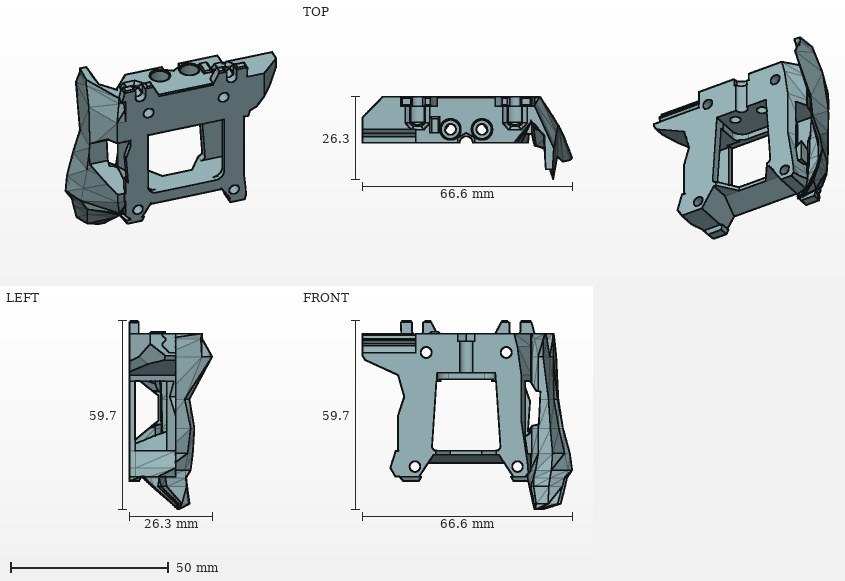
import cadquery as cq


DEPTH = 14.65
PLATE_THICKNESS = 2.8
BACK_WALL_Y = 12.8
RAIL_END_X = -32.95
BODY_RIGHT_X = 20.5
LEG_BOTTOM_Z = -45.4
CAVITY_TOP_Z = -15.1
CAVITY_FLOOR_Z = -37.1
BRIDGE_Z = -38.5
BRIDGE_BACK_Z = -41.1
LEG_LEFT_X = -21.65
LEG_STEP_Z = -37.2
LEG_CORNER_X = 24.1
LEG_CORNER_Z = -42.6
OVERRUN = 1.0
TIP_Y = -11.61

WINDOW_TOP_Z = -12.46
WINDOW_TOP_HALF = 9.25
WINDOW_FLOOR_HALF = 10.9
WINDOW_RADIUS = 1.3
POCKET_RADIUS = 3.6
BACK_WINDOW_TOP_Z = -14.5
BACK_WINDOW_HALF = 12.9
BACK_WINDOW_RADIUS = 3.0
BRIDGE_END_X = 9.6
BRIDGE_MID_X = 5.0
BRIDGE_FRONT_Y = 6.5

SCREW_DIA = 3.4
LEG_HOLE_DIA = 3.31
TOP_SCREW_X = 12.7
TOP_SCREW_Z = -6.0
LEG_SCREW_X = 16.27
LEG_SCREW_Z = -42.2
VERTICAL_HOLE_X = 5.0
VERTICAL_HOLE_Y = 4.27
COUNTERBORE_DIA = 6.0
COUNTERBORE_DEPTH = 10.0
COUNTERBORE_CHAMFER = 0.35
CLAMP_BORE_DIA = 4.1
NUT_FLATS = 5.5
NUT_DEPTH = 2.4

HOOK_X = 15.45
HOOK_FRONT_Y = 11.65
HOOK_HEIGHT = 4.0
HOOK_SLOT = 3.4
HOOK_CHAMFER_HEIGHT = 0.6
HOOK_TOP_SETBACK = 0.45
SLOT_AXIS_Z = 0.85
TROUGH_DIA = 5.8
TROUGH_FRONT_Y = 6.6
TROUGH_NOSE_LENGTH = 1.4
TROUGH_RIM_FRONT_Y = 4.1
TROUGH_RIM_HALF = 3.9
TROUGH_RIM_DEPTH = 1.1
TROUGH_RIM_SETBACK = 0.3
TROUGH_RIM_TAPER = 1.5

TAB_X = (-11.5, -8.4)
TAB_Y = (3.2, 8.2)
TAB_HEIGHT = 0.6
TAB_CHAMFER = 0.5

RAIL_CUT_END_X = -16.05
FOOT_BOTTOM_Z = -46.8
FOOT_FRONT_Y = 10.8
BACK_EDGE_CHAMFER = 0.4


def prism_y(points, y_start, y_end):
    """Extrude an X-Z outline along Y."""
    sketch = cq.Workplane("XZ", origin=(0, y_start, 0)).polyline(points).close()
    return sketch.extrude(-(y_end - y_start))


def prism_x(points, x_start, x_end):
    """Extrude a Y-Z outline along X."""
    return cq.Workplane("YZ", origin=(x_start, 0, 0)).polyline(points).close().extrude(x_end - x_start)


def prism_z(points, z_start, z_end):
    """Extrude an X-Y outline along Z."""
    return cq.Workplane("XY", origin=(0, 0, z_start)).polyline(points).close().extrude(z_end - z_start)


def box(x_span, y_span, z_span):
    """Block between the (low, high) limits on each axis."""
    left, right = x_span
    front, back = y_span
    return prism_z([(left, front), (right, front), (right, back), (left, back)], *z_span)


def cylinder_y(diameter, x, z, y_start, y_end):
    plane = cq.Workplane("XZ", origin=(x, y_start, z))
    return plane.circle(diameter / 2).extrude(-(y_end - y_start))


def cylinder_z(diameter, x, y, z_start, z_end):
    plane = cq.Workplane("XY", origin=(x, y, z_start))
    return plane.circle(diameter / 2).extrude(z_end - z_start)


def face_of(points):
    return cq.Face.makeFromWires(cq.Wire.makePolygon([cq.Vector(*p) for p in points], close=True))


def faceted_solid(sections):
    """Flat-faceted solid through (z, plan points) sections with equal point counts."""
    rings = [[(x, y, z) for x, y in plan] for z, plan in sections]
    faces = [face_of(rings[0]), face_of(rings[-1])]
    for upper, lower in zip(rings, rings[1:]):
        for i in range(len(upper)):
            j = (i + 1) % len(upper)
            faces.append(face_of([upper[i], upper[j], lower[j]]))
            faces.append(face_of([upper[i], lower[j], lower[i]]))
    solid = cq.Solid.makeSolid(cq.Shell.makeShell(faces))
    return cq.Workplane("XY").add(cq.Shape.cast(solid.fix().wrapped))


def half_space(a, b, c):
    """Large block on the side of plane a-b-c that its right-hand normal points to."""
    origin = cq.Vector(*a)
    edge = cq.Vector(*b) - origin
    normal = edge.cross(cq.Vector(*c) - origin)
    size = 60.0
    return cq.Workplane(cq.Plane(origin, edge, normal)).rect(size, size).extrude(size)


def main_block():
    """Front silhouette of the frame, without the wing, through the full depth."""
    outline = [
        (RAIL_END_X, 0), (RAIL_END_X, -7.0), (-32.1, -8.4), (LEG_LEFT_X, -13.2),
        (-19.7, -20.0), (LEG_LEFT_X, -26.0), (LEG_LEFT_X, LEG_STEP_Z), (-22.4, LEG_STEP_Z),
        (-LEG_CORNER_X, LEG_CORNER_Z), (-22.5, LEG_BOTTOM_Z), (-14.9, LEG_BOTTOM_Z), (-10.4, BRIDGE_Z),
        (10.4, BRIDGE_Z), (14.9, LEG_BOTTOM_Z), (18.8, LEG_BOTTOM_Z), (BODY_RIGHT_X, -43.5),
        (BODY_RIGHT_X, 0),
    ]
    return prism_y(outline, 0, DEPTH)


def bridge_wedge():
    """Sloping underside of the bridge between the legs."""
    half_length = 11.9
    profile = [(BRIDGE_FRONT_Y, BRIDGE_Z), (DEPTH, BRIDGE_BACK_Z), (DEPTH, BRIDGE_Z)]
    return prism_x(profile, -half_length, half_length)


def foot(side):
    """Tapered foot below the back of a leg; side is -1 for left, +1 for right."""
    taper = 0.8
    top = [(14.2, FOOT_FRONT_Y), (21.2, FOOT_FRONT_Y), (20.2, DEPTH), (14.2, DEPTH)]
    bottom = [(15.0, FOOT_FRONT_Y + taper), (20.0, FOOT_FRONT_Y + taper), (19.9, DEPTH), (15.0, DEPTH)]
    sections = [
        (z, [(side * x, y) for x, y in plan])
        for z, plan in ((LEG_BOTTOM_Z, top), (FOOT_BOTTOM_Z, bottom))
    ]
    return faceted_solid(sections)


def rail_corner_cuts():
    """Slanted faces at the back of the rail arm."""
    outside_x = RAIL_END_X - OVERRUN
    outside_y = DEPTH + OVERRUN
    arm_bottom_z = -20.0
    corner = prism_z([(outside_x, 7.0), (-25.5, outside_y), (outside_x, outside_y)], arm_bottom_z, OVERRUN)
    shoulder = (-29.4, 11.6, -7.4)
    underside = (-29.4, 8.9, -9.5)
    end_facet = half_space((RAIL_END_X, 8.0, -3.3), shoulder, (RAIL_END_X, 3.5, -6.8))
    back_facet = half_space(shoulder, (-26.5, DEPTH, -8.8), underside)
    arm_zone = box((outside_x, LEG_LEFT_X), (-OVERRUN, outside_y), (arm_bottom_z, OVERRUN))
    back_zone = box((outside_x, LEG_LEFT_X), (8.0, outside_y), (-14.0, OVERRUN))
    return [corner, end_facet.intersect(arm_zone), back_facet.intersect(back_zone)]


def left_leg_cuts():
    """Slant of the left leg towards the back wall and bevel behind the front plate edge."""
    outside_x = -30.0
    outside_y = DEPTH + OVERRUN
    edges = [
        (CAVITY_TOP_Z, LEG_LEFT_X, -19.6),
        (CAVITY_FLOOR_Z, -22.4, -19.6),
        (LEG_CORNER_Z, -LEG_CORNER_X, -20.2),
        (FOOT_BOTTOM_Z, -LEG_CORNER_X, -20.4),
    ]
    leg_side = faceted_solid([
        (z, [(front_x, 0), (back_x, BACK_WALL_Y), (back_x, outside_y),
             (outside_x, outside_y), (outside_x, 0)])
        for z, front_x, back_x in edges
    ])
    plate_bevel = prism_z([
        (LEG_LEFT_X, 0), (-18.7, PLATE_THICKNESS), (outside_x, PLATE_THICKNESS), (outside_x, 0),
    ], CAVITY_FLOOR_Z, CAVITY_TOP_Z)
    return [leg_side, plate_bevel]


def rail_cut():
    """Stepped and grooved rail along the top left of the front face."""
    profile = [
        (-1, 1), (4.25, 1), (4.25, -0.6), (3.1, -1.7), (3.1, -2.1),
        (4.25, -3.3), (4.25, -3.8), (2.0, -6.05), (-1, -6.05),
    ]
    return prism_x(profile, RAIL_END_X - OVERRUN, RAIL_CUT_END_X)


def side_groove():
    """Gap between the right edge of the front plate and the wing."""
    far_x = 30.0
    plate_edge = [(1, 15.2), (0, 15.2), (-4, 16.2), (-13, 17.45), (-28, 17.5), (-41.5, 19.5), (-48, 19.9)]
    apex = (20.6, 6.7)
    sections = [(z, [(x, -1), (x, 0), apex, (far_x, apex[1]), (far_x, -1)]) for z, x in plate_edge]
    return faceted_solid(sections)


def window_cuts():
    """Hollow between front plate and back wall, with the windows opening into it."""
    cavity = box((RAIL_END_X, -RAIL_END_X), (PLATE_THICKNESS, BACK_WALL_Y), (CAVITY_FLOOR_Z, CAVITY_TOP_Z))
    front_window = prism_y([
        (-WINDOW_TOP_HALF, WINDOW_TOP_Z), (WINDOW_TOP_HALF, WINDOW_TOP_Z),
        (WINDOW_FLOOR_HALF, CAVITY_FLOOR_Z), (-WINDOW_FLOOR_HALF, CAVITY_FLOOR_Z),
    ], -OVERRUN, PLATE_THICKNESS + OVERRUN).edges("|Y and <Z").fillet(WINDOW_RADIUS)
    pocket = box((-WINDOW_TOP_HALF, WINDOW_TOP_HALF), (-OVERRUN, BACK_WALL_Y),
                 (CAVITY_TOP_Z - OVERRUN, WINDOW_TOP_Z))
    pocket = pocket.edges("|Z and >Y").fillet(POCKET_RADIUS)
    back_window = box((-BACK_WINDOW_HALF, BACK_WINDOW_HALF), (BACK_WALL_Y - OVERRUN, DEPTH + OVERRUN),
                      (CAVITY_FLOOR_Z, BACK_WINDOW_TOP_Z)).edges("|Y and <Z").fillet(BACK_WINDOW_RADIUS)
    bridge_front = prism_z([
        (-BRIDGE_END_X, -OVERRUN), (-BRIDGE_END_X, 0), (-BRIDGE_MID_X, BRIDGE_FRONT_Y),
        (BRIDGE_MID_X, BRIDGE_FRONT_Y), (BRIDGE_END_X, 0), (BRIDGE_END_X, -OVERRUN),
    ], LEG_BOTTOM_Z, CAVITY_FLOOR_Z + OVERRUN)
    return [cavity, front_window, pocket, back_window, bridge_front]


def hole_cuts():
    """Screw holes, counterbores and the clamp screw bore with its nut recess."""
    cuts = []
    for side in (-1, 1):
        cuts.append(cylinder_y(SCREW_DIA, side * TOP_SCREW_X, TOP_SCREW_Z, -OVERRUN, DEPTH + OVERRUN))
        cuts.append(cylinder_y(LEG_HOLE_DIA, side * LEG_SCREW_X, LEG_SCREW_Z, -OVERRUN, DEPTH + OVERRUN))
        x = side * VERTICAL_HOLE_X
        cuts.append(cylinder_z(SCREW_DIA, x, VERTICAL_HOLE_Y, CAVITY_TOP_Z, OVERRUN))
        cuts.append(cylinder_z(COUNTERBORE_DIA, x, VERTICAL_HOLE_Y, -COUNTERBORE_DEPTH, OVERRUN))
        rim_radius = COUNTERBORE_DIA / 2 + COUNTERBORE_CHAMFER
        rim = cq.Solid.makeCone(rim_radius, COUNTERBORE_DIA / 2, COUNTERBORE_CHAMFER,
                                cq.Vector(x, VERTICAL_HOLE_Y, 0), cq.Vector(0, 0, -1))
        cuts.append(cq.Workplane("XY").add(rim))
    cuts.append(cylinder_z(CLAMP_BORE_DIA, 0, 0, WINDOW_TOP_Z - OVERRUN, OVERRUN))
    nut = cq.Workplane("XY").polygon(6, NUT_FLATS, circumscribed=True).extrude(-NUT_DEPTH)
    cuts.append(nut)
    return cuts


def mirrored(points, side):
    return [(side * x, z) for x, z in points]


def hook(side):
    """Pair of prongs above a trough; side is -1 for left, +1 for right."""
    inner_x = HOOK_X - HOOK_SLOT / 2
    outer_x = HOOK_X + HOOK_SLOT / 2
    shoulder = HOOK_HEIGHT - HOOK_CHAMFER_HEIGHT
    inner_prong = [(9.2, 0), (11.0, shoulder), (11.4, HOOK_HEIGHT),
                   (inner_x - 0.8, HOOK_HEIGHT), (inner_x, shoulder), (inner_x, 0)]
    outer_base_x = 20.65 if side < 0 else 21.7
    outer_prong = [(outer_x, 0), (outer_x, shoulder), (outer_x + HOOK_TOP_SETBACK, HOOK_HEIGHT),
                   (20.35, HOOK_HEIGHT), (20.8, shoulder), (outer_base_x, 0)]
    prongs = prism_y(mirrored(inner_prong, side), HOOK_FRONT_Y, DEPTH)
    prongs = prongs.union(prism_y(mirrored(outer_prong, side), HOOK_FRONT_Y, DEPTH))
    web_outline = [(inner_x, 0), (outer_x, 0), (outer_x, SLOT_AXIS_Z), (inner_x, SLOT_AXIS_Z)]
    web = prism_y(mirrored(web_outline, side), HOOK_FRONT_Y, DEPTH)
    return prongs.union(web).edges("|X and >Z").chamfer(HOOK_TOP_SETBACK)


def rim_outline(x, half_width, front_y):
    """Trough rim in plan, with its two front corners cut off."""
    corner_y = TROUGH_FRONT_Y - TROUGH_RIM_SETBACK
    half_front = half_width / 2
    return [
        (x - half_width, HOOK_FRONT_Y), (x - half_width, corner_y), (x - half_front, front_y),
        (x + half_front, front_y), (x + half_width, corner_y), (x + half_width, HOOK_FRONT_Y),
    ]


def trough_cuts(side):
    """Cable trough in the top face with the slot through its hook."""
    x = side * HOOK_X
    radius = TROUGH_DIA / 2
    slot = cylinder_y(HOOK_SLOT, x, SLOT_AXIS_Z, HOOK_FRONT_Y - OVERRUN, DEPTH + OVERRUN)
    trough = cylinder_y(TROUGH_DIA, x, SLOT_AXIS_Z, TROUGH_FRONT_Y, HOOK_FRONT_Y)
    nose = cq.Solid.makeCone(radius, radius / 2, TROUGH_NOSE_LENGTH,
                             cq.Vector(x, TROUGH_FRONT_Y, SLOT_AXIS_Z), cq.Vector(0, -1, 0))
    rim_top = rim_outline(x, TROUGH_RIM_HALF, TROUGH_RIM_FRONT_Y)
    rim_bottom = rim_outline(x, TROUGH_RIM_HALF - TROUGH_RIM_TAPER, TROUGH_RIM_FRONT_Y + TROUGH_RIM_DEPTH)
    rim = faceted_solid([(0, rim_top), (-TROUGH_RIM_DEPTH, rim_bottom)])
    return [slot, trough, cq.Workplane("XY").add(nose), rim]


def back_edge_bevel():
    """Broken top back edge between the two hooks."""
    half_length = 9.2
    return prism_x([(DEPTH - BACK_EDGE_CHAMFER, 0), (DEPTH, 0), (DEPTH, -BACK_EDGE_CHAMFER)],
                   -half_length, half_length)


def raised_tab():
    """Low bevelled tab on the top face."""
    tab = box(TAB_X, TAB_Y, (-OVERRUN, TAB_HEIGHT))
    return tab.faces(">Z").edges("|Y or >Y").chamfer(TAB_CHAMFER)


def wing():
    """Faceted wing and toe scoop; each section runs round the back, outer tip and inner face."""
    sections = [
        (0.0, [(19.0, 13.2), (21.7, 11.7), (27.75, -1.6), (27.4, -8.4),
               (25.2, -8.4), (24.9, 2.0), (21.0, 6.5), (20.6, 6.7)]),
        (-1.6, [(19.0, 13.5), (22.0, 12.5), (28.0, -0.8), (27.5, -8.4),
                (25.6, -8.0), (24.5, 2.8), (21.6, 5.8), (20.7, 6.7)]),
        (-7.3, [(19.0, DEPTH), (23.4, DEPTH), (28.6, 3.0), (27.6, TIP_Y),
                (26.5, -8.3), (24.4, 5.0), (22.8, 5.2), (20.8, 6.5)]),
        (-20.8, [(19.0, DEPTH), (23.4, DEPTH), (29.25, 5.7), (28.9, -4.4),
                 (27.8, -2.9), (26.1, 4.4), (22.9, 4.8), (20.8, 6.5)]),
        (-30.0, [(19.0, DEPTH), (23.4, DEPTH), (29.8, 4.5), (30.7, -6.0),
                 (29.4, -4.8), (26.7, 4.2), (22.9, 4.6), (20.8, 6.5)]),
        (-38.0, [(19.0, 14.3), (23.0, 14.3), (30.5, 3.0), (32.9, -5.5),
                 (31.2, -3.8), (27.4, 3.8), (22.9, 4.2), (20.8, 6.5)]),
        (-43.3, [(19.0, 12.0), (22.0, 13.0), (31.0, 2.0), (33.63, -4.8),
                 (32.3, -2.9), (27.0, 3.3), (22.0, 4.8), (20.4, 8.0)]),
        (-45.7, [(19.5, 9.8), (21.0, 10.4), (29.5, 4.0), (32.0, -3.4),
                 (31.2, -3.2), (26.6, 3.2), (21.4, 5.2), (20.4, 8.0)]),
        (-48.5, [(20.0, 7.0), (21.2, 7.5), (29.0, 2.6), (31.4, -3.7),
                 (30.5, -3.5), (26.2, 2.8), (21.4, 4.6), (20.5, 5.6)]),
        (-54.0, [(21.2, 0.9), (21.6, 1.1), (28.0, 0.2), (30.0, -4.46),
                 (29.0, -4.2), (26.0, -2.0), (22.2, -0.9), (21.5, -0.2)]),
        (-55.7, [(21.6, -0.7), (22.0, -0.6), (24.0, -0.7), (24.6, -1.1),
                 (24.2, -1.2), (23.0, -1.1), (22.2, -1.05), (21.8, -1.0)]),
    ]
    opening = prism_x([
        (5.45, -19.7), (5.45, -27.6), (DEPTH + OVERRUN, -36.0), (DEPTH + OVERRUN, -15.1), (11.3, -15.1),
    ], 18.0, 33.0)
    return faceted_solid(sections).cut(opening)


def wing_slit():
    """Slit seen straight through between the back wall and the wing."""
    outline = [
        (18.7, CAVITY_TOP_Z), (18.7, -17.0), (20.3, -21.5), (19.6, -31.0),
        (21.0, -29.2), (23.0, -28.8), (23.5, -18.4), (22.2, -18.2), (20.3, CAVITY_TOP_Z),
    ]
    return prism_y(outline, PLATE_THICKNESS, DEPTH + OVERRUN)


def right_leg_ramp():
    """Ramp rising from the cavity floor to the wing, lower towards the back wall."""
    start_x, end_x = 13.0, 20.8
    floor_z = CAVITY_FLOOR_Z - OVERRUN
    front = [(start_x, floor_z), (end_x, floor_z), (end_x, -31.1), (start_x, CAVITY_FLOOR_Z)]
    back = [(start_x, floor_z), (end_x, floor_z), (end_x, -35.0), (start_x, CAVITY_FLOOR_Z)]
    wires = [
        cq.Wire.makePolygon([cq.Vector(x, y, z) for x, z in outline], close=True)
        for y, outline in ((PLATE_THICKNESS, front), (DEPTH, back))
    ]
    return cq.Workplane("XY").add(cq.Solid.makeLoft(wires, True))


def build():
    part = main_block().union(bridge_wedge())
    for cut in rail_corner_cuts() + left_leg_cuts() + [rail_cut(), side_groove()] + window_cuts():
        part = part.cut(cut)
    part = part.union(right_leg_ramp()).union(wing()).cut(wing_slit()).union(raised_tab())
    for side in (-1, 1):
        part = part.union(foot(side)).union(hook(side))
    for cut in [back_edge_bevel()] + hole_cuts() + trough_cuts(-1) + trough_cuts(1):
        part = part.cut(cut)
    return part


result = build()